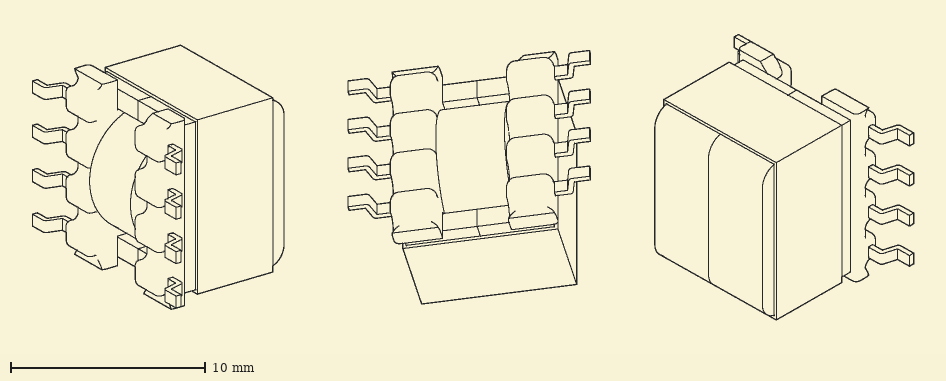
import cadquery as cq
import math


CORE_HALF_LENGTH = 3.9
CORE_HALF_WIDTH = 4.74
CORE_TOP = 8.6
CORE_CORNER_RADIUS = 1.1
CAVITY_RADIUS = 3.62
CAVITY_HALF_LENGTH = 2.5
POST_RADIUS = 1.65

WINDING_RADIUS = 3.55
WINDING_BOTTOM = 0.37
AXIS_HEIGHT = WINDING_BOTTOM + WINDING_RADIUS
TAPE_THICKNESS = 0.18
TAPE_BOTTOM = 2.97
TAPE_TOP = 7.76

TUBE_RADIUS = 2.03
RAIL_INNER_X = 1.8
RAIL_OUTER_X = 4.3
RAIL_WIDTH = RAIL_OUTER_X - RAIL_INNER_X
RAIL_HALF_LENGTH = 5.23
RAIL_TOP = 2.15
RAIL_FLOOR = 1.18
RAIL_TOP_EDGE_RADIUS = 0.28
INDEX_CHAMFER = 0.84

BUMP_BOTTOM = 0.43
OUTER_BUMP_Z = 3.78
OUTER_BUMP_LENGTH = 1.41
INNER_BUMP_Z = 1.27
INNER_BUMP_LENGTH = 1.54
BUMP_RADIUS = 0.25
SIDE_RADIUS = 0.5

PIN_PITCH = 2.5
PINS_PER_RAIL = 4
PIN_WIDTH = 0.67
PIN_THICKNESS = 0.32
PIN_TIP_X = 6.35
PIN_SHOULDER_TOP = 1.26
FOOT_INNER_X = 5.49
LEG_SLOPE = 0.28
LEG_THICKNESS_X = 0.3
PIN_BEND_RADIUS = 0.2

BUMPS = [
    (-OUTER_BUMP_Z, OUTER_BUMP_LENGTH),
    (-INNER_BUMP_Z, INNER_BUMP_LENGTH),
    (INNER_BUMP_Z, INNER_BUMP_LENGTH),
    (OUTER_BUMP_Z, OUTER_BUMP_LENGTH),
]
ROOT_END_Z = OUTER_BUMP_Z + OUTER_BUMP_LENGTH / 2 + BUMP_RADIUS


def box(x_range, y_range, z_range):
    """Box between two limits on each axis."""
    size = [high - low for low, high in (x_range, y_range, z_range)]
    corner = cq.Vector(x_range[0], y_range[0], z_range[0])
    return cq.Workplane(cq.Solid.makeBox(*size, corner))


def axial_cylinder(radius, x_start, x_end):
    """Cylinder around the winding axis."""
    return cq.Workplane("YZ", (x_start, AXIS_HEIGHT, 0)).circle(radius).extrude(x_end - x_start)


def arch(radius, x_start, x_end):
    """Shape round above the winding axis and straight-sided from there down to the rails."""
    legs = box((x_start, x_end), (RAIL_TOP, AXIS_HEIGHT), (-radius, radius))
    below_rail_top = box((x_start, x_end), (AXIS_HEIGHT - radius, RAIL_TOP), (-radius, radius))
    return axial_cylinder(radius, x_start, x_end).union(legs).cut(below_rail_top)


def make_core_half():
    """The half at positive X: a cup with a round centre post, open underneath."""
    body = box((0, CORE_HALF_LENGTH), (RAIL_TOP, CORE_TOP), (-CORE_HALF_WIDTH, CORE_HALF_WIDTH))
    body = body.edges("|X and >Y").fillet(CORE_CORNER_RADIUS)
    body = body.cut(arch(CAVITY_RADIUS, 0, CAVITY_HALF_LENGTH))
    return body.union(axial_cylinder(POST_RADIUS, 0, CAVITY_HALF_LENGTH))


def make_tape():
    """Closed band around the core."""
    half_x = CORE_HALF_LENGTH
    half_z = CORE_HALF_WIDTH
    outer_x = half_x + TAPE_THICKNESS
    outer_z = half_z + TAPE_THICKNESS
    y_range = (TAPE_BOTTOM, TAPE_TOP)
    band = box((-outer_x, outer_x), y_range, (-outer_z, outer_z))
    return band.cut(box((-half_x, half_x), y_range, (-half_z, half_z)))


def make_winding():
    """Coil filling the space between the bobbin tube and the flanges."""
    coil = axial_cylinder(WINDING_RADIUS, -RAIL_INNER_X, RAIL_INNER_X)
    return coil.cut(axial_cylinder(TUBE_RADIUS, -RAIL_INNER_X, RAIL_INNER_X))


def bump_gap(low, high):
    """Gap between the walls of two neighbouring bumps, with round roots along the floor."""
    gap = box((RAIL_INNER_X, RAIL_OUTER_X), (0, RAIL_FLOOR), (low, high))
    return gap.edges("|X and >Y").fillet(BUMP_RADIUS)


def end_groove(end):
    """Groove beyond the last bump whose half-round bottom starts as that bump's root."""
    centre_y = RAIL_FLOOR - BUMP_RADIUS
    centre_z = end * ROOT_END_Z
    return (
        cq.Workplane("YZ", (RAIL_INNER_X, 0, 0))
        .moveTo(0, centre_z - BUMP_RADIUS)
        .lineTo(centre_y, centre_z - BUMP_RADIUS)
        .threePointArc((RAIL_FLOOR, centre_z), (centre_y, centre_z + BUMP_RADIUS))
        .lineTo(0, centre_z + BUMP_RADIUS)
        .close()
        .extrude(RAIL_WIDTH)
    )


def make_rail():
    """Rail at positive X, without pins.

    It starts with a spare lug beyond each end, so that the side rounding follows the root of the
    last bump all the way out. The lugs are then trimmed off flush with the floor.
    """
    x_range = (RAIL_INNER_X, RAIL_OUTER_X)
    lug_end = RAIL_HALF_LENGTH + SIDE_RADIUS * 2
    rail = box(x_range, (BUMP_BOTTOM, RAIL_TOP), (-lug_end, lug_end))
    for (centre, length), (next_centre, next_length) in zip(BUMPS, BUMPS[1:]):
        rail = rail.cut(bump_gap(centre + length / 2, next_centre - next_length / 2))
    for end in (-1, 1):
        rail = rail.cut(end_groove(end))

    lower_edges = cq.selectors.BoxSelector(
        (0, 0, -RAIL_HALF_LENGTH), (PIN_TIP_X, (RAIL_FLOOR + RAIL_TOP) / 2, RAIL_HALF_LENGTH)
    )
    rail = rail.faces("<X or >X").edges(lower_edges).fillet(SIDE_RADIUS)

    for end in (-1, 1):
        lug = box(x_range, (0, RAIL_FLOOR), sorted((end * ROOT_END_Z, end * lug_end)))
        excess = box(x_range, (0, RAIL_TOP), sorted((end * RAIL_HALF_LENGTH, end * lug_end)))
        rail = rail.cut(lug).cut(excess)

    rail = rail.faces("<Y").edges("|X").fillet(BUMP_RADIUS)
    return rail.edges("|Z and >X and >Y").fillet(RAIL_TOP_EDGE_RADIUS)


def cut_index_corner(rail):
    """Bevel the inner corner of the rail at positive Z, which marks the part's orientation."""
    bevel = (
        cq.Workplane("XZ")
        .moveTo(RAIL_INNER_X, RAIL_HALF_LENGTH)
        .lineTo(RAIL_INNER_X + INDEX_CHAMFER, RAIL_HALF_LENGTH)
        .lineTo(RAIL_INNER_X, RAIL_HALF_LENGTH - INDEX_CHAMFER)
        .close()
        .extrude(-RAIL_TOP)
    )
    return rail.cut(bevel)


def make_pin(centre_z):
    """Gull-wing pin of the rail at positive X."""
    rise = PIN_SHOULDER_TOP - PIN_THICKNESS
    leg_shift = LEG_SLOPE * rise
    foot_lower_x = FOOT_INNER_X - LEG_THICKNESS_X + LEG_SLOPE * PIN_THICKNESS
    outline = [
        (PIN_TIP_X, 0),
        (foot_lower_x, 0),
        (foot_lower_x - leg_shift, rise),
        (RAIL_OUTER_X, rise),
        (RAIL_OUTER_X, PIN_SHOULDER_TOP),
        (FOOT_INNER_X - leg_shift, PIN_SHOULDER_TOP),
        (FOOT_INNER_X, PIN_THICKNESS),
        (PIN_TIP_X, PIN_THICKNESS),
    ]
    pin = cq.Workplane("XY", (0, 0, centre_z - PIN_WIDTH / 2)).polyline(outline).close().extrude(PIN_WIDTH)
    for x, y in (outline[1], outline[5]):
        bend = cq.selectors.NearestToPointSelector((x, y, centre_z))
        pin = pin.edges("|Z").edges(bend).fillet(PIN_BEND_RADIUS)
    return pin


def add_flange_and_pins(rail):
    """Join a rail at positive X with its winding flange and its row of pins."""
    flange = arch(WINDING_RADIUS, RAIL_INNER_X, CAVITY_HALF_LENGTH)
    side = rail.union(flange)
    for index in range(PINS_PER_RAIL):
        side = side.union(make_pin((index - (PINS_PER_RAIL - 1) / 2) * PIN_PITCH))
    return side


def make_bobbin():
    """Tube around the centre post, joining the two sides."""
    rail = make_rail()
    left_side = add_flange_and_pins(rail).mirror("YZ")
    right_side = add_flange_and_pins(cut_index_corner(rail))
    tube = axial_cylinder(TUBE_RADIUS, -CAVITY_HALF_LENGTH, CAVITY_HALF_LENGTH)
    post_hole = axial_cylinder(POST_RADIUS, -CAVITY_HALF_LENGTH, CAVITY_HALF_LENGTH)
    return left_side.union(right_side).union(tube).cut(post_hole)


right_core = make_core_half()
left_core = right_core.mirror("YZ")
tape = make_tape()
winding = make_winding()
bobbin = make_bobbin()

result = cq.Compound.makeCompound(
    [left_core.val(), right_core.val(), tape.val(), winding.val(), bobbin.val()]
)